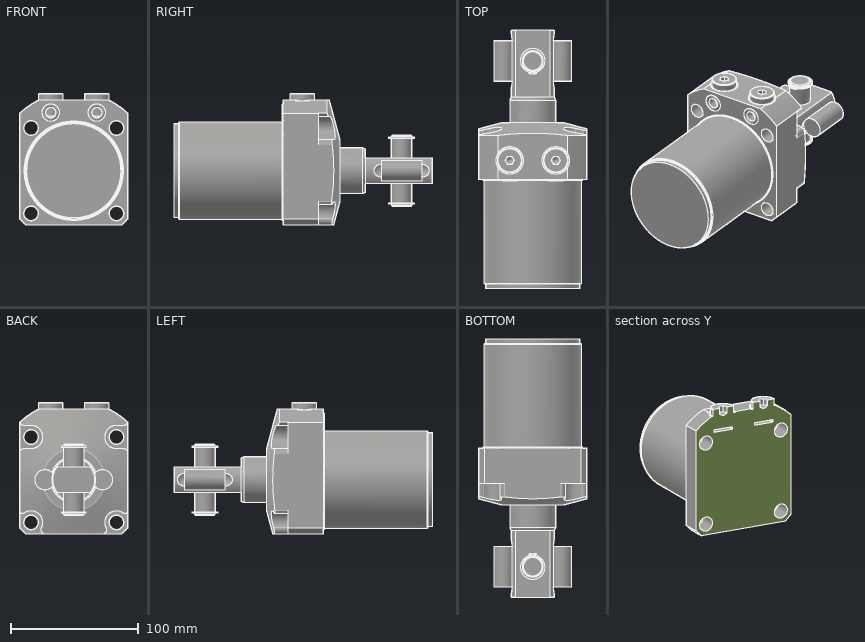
import cadquery as cq
import math


flange_width = 85.0
flange_bottom = 42.5
flange_top = 55.5
corner_radius = 61.8
bottom_chamfer = 4.9
flange_depth = 44.6
front_face_radius = 24.3
front_cone_angle = 15.0

mount_offset = 33.5
mount_hole_diameter = 11.2
counterbore_radius = 9.1
counterbore_floor = 27.8
slot_mouth_radius = 3.5
side_mouth_radius = 2.5
bottom_mouth_radius = 3.5

barrel_radius = 38.3
barrel_length = 82.0
barrel_chamfer = 0.6
end_cap_radius = 37.0
end_cap_length = 3.6
root_radius = 39.0
root_length = 0.8

collar_radius = 18.0
collar_end = 64.5
collar_taper_length = 2.5
rod_radius = 17.0
rod_end = 117.2
rod_flat_height = 20.3
rod_end_chamfer = 0.6

pin_y = 92.9
pin_radius = 8.1
pin_length = 55.8
pin_chamfer = 0.8
ring_radius = 9.5
ring_offset = 0.5
ring_thickness = 1.0
ring_inset = 1.6
lug_reach = 10.3
lug_root = 7.0
lug_root_width = 7.7
lug_tip_width = 5.0
lug_gap = 0.8
lug_hole_diameter = 1.2
lug_hole_x = 1.6
lug_hole_reach = 9.1
roller_radius = 8.0
roller_length = 31.8
roller_x = 22.5

port_x = 18.0
port_y = 15.0
spotface_diameter = 21.5
spotface_depth = 0.8
port_bore_diameter = 16.2
port_bore_bottom = 41.4
plug_top = 60.5
plug_head_diameter = 19.3
plug_head_chamfer = 0.5
plug_shank_end = 43.0
socket_width = 6.3
socket_depth = 5.0
socket_cone_depth = 1.8
oil_hole_height = 45.6
bead_outer_diameter = 13.8
bead_section_radius = 1.52
bead_proud = 1.0
oil_hole_diameter = 8.0

sides = (-1, 1)
port_places = [-port_x, port_x]
bead_center_radius = bead_outer_diameter / 2 - bead_section_radius
bead_center_y = bead_section_radius - bead_proud


def cylinder_y(radius, y_start, y_end, x=0, z=0):
    """Cylinder along +Y between two y positions."""
    start = cq.Vector(x, y_start, z)
    return cq.Workplane(cq.Solid.makeCylinder(radius, y_end - y_start, start, cq.Vector(0, 1, 0)))


def cylinder_z(radius, z_start, z_end, x=0, y=0):
    """Cylinder along +Z between two z positions."""
    return cq.Workplane(cq.Solid.makeCylinder(radius, z_end - z_start, cq.Vector(x, y, z_start)))


def box_between(low, high):
    """Box spanning two opposite corners."""
    size = [b - a for a, b in zip(low, high)]
    return cq.Workplane("XY").box(*size, centered=False).translate(tuple(low))


def flange_block():
    """Flange outline extruded along the axis and trimmed to a conical front."""
    half = flange_width / 2
    arc_start_z = math.sqrt(corner_radius**2 - half**2)
    arc_end_x = math.sqrt(corner_radius**2 - flange_top**2)
    middle = math.atan2(arc_start_z + flange_top, half + arc_end_x)
    arc_mid_x = corner_radius * math.cos(middle)
    arc_mid_z = corner_radius * math.sin(middle)
    block = (
        cq.Workplane("XZ")
        .moveTo(-half + bottom_chamfer, -flange_bottom)
        .lineTo(half - bottom_chamfer, -flange_bottom)
        .lineTo(half, -flange_bottom + bottom_chamfer)
        .lineTo(half, arc_start_z)
        .threePointArc((arc_mid_x, arc_mid_z), (arc_end_x, flange_top))
        .lineTo(-arc_end_x, flange_top)
        .threePointArc((-arc_mid_x, arc_mid_z), (-half, arc_start_z))
        .lineTo(-half, -flange_bottom + bottom_chamfer)
        .close()
        .extrude(-flange_depth)
    )
    envelope_radius = math.hypot(flange_width, flange_top)
    cone_drop = (envelope_radius - front_face_radius) * math.tan(math.radians(front_cone_angle))
    envelope = (
        cq.Workplane("XY")
        .moveTo(0, 0)
        .lineTo(envelope_radius, 0)
        .lineTo(envelope_radius, flange_depth - cone_drop)
        .lineTo(front_face_radius, flange_depth)
        .lineTo(0, flange_depth)
        .close()
        .revolve(360, (0, 0, 0), (0, 1, 0))
    )
    return block.intersect(envelope)


def slot_mouth_cutter(wall_z, outward):
    """Rounds the mouth of the left upper slot where its wall at wall_z meets the side face."""
    inner_x = -flange_width / 2 + slot_mouth_radius
    far_z = wall_z + outward * slot_mouth_radius
    square = box_between(
        (-flange_width / 2, counterbore_floor, min(wall_z, far_z)),
        (inner_x, flange_depth, max(wall_z, far_z)),
    )
    return square.cut(cylinder_y(slot_mouth_radius, counterbore_floor, flange_depth, inner_x, far_z))


def upper_slot_cutter():
    """Straight slot that opens the left upper counterbore to the side face."""
    cutter = box_between(
        (-flange_width / 2, counterbore_floor, mount_offset - counterbore_radius),
        (-mount_offset, flange_depth, mount_offset + counterbore_radius),
    )
    for outward in (-1, 1):
        wall_z = mount_offset + outward * counterbore_radius
        cutter = cutter.union(slot_mouth_cutter(wall_z, outward))
    return cutter


def rounded_mouth(face_distance, mouth_radius):
    """Arc that blends the counterbore circle into a flat face at face_distance from its centre.

    Gives the end on the circle, a middle point and the end on the face, each as
    (distance along the face, distance towards the face) from the counterbore centre.
    """
    towards = face_distance - mouth_radius
    reach = counterbore_radius + mouth_radius
    along = math.sqrt(reach**2 - towards**2)
    circle_angle = math.atan2(-towards, -along)
    face_angle = -math.pi * 3 / 2
    middle_angle = (circle_angle + face_angle) / 2
    middle = (along + mouth_radius * math.cos(middle_angle), towards + mouth_radius * math.sin(middle_angle))
    on_circle = (along * counterbore_radius / reach, towards * counterbore_radius / reach)
    return on_circle, middle, (along, face_distance)


def lower_corner_cutter():
    """Opens the left lower counterbore to the side and bottom faces through rounded mouths."""
    side_arc = rounded_mouth(flange_width / 2 - mount_offset, side_mouth_radius)
    side_points = [(-mount_offset - towards, -mount_offset + along) for along, towards in side_arc]
    bottom_arc = rounded_mouth(flange_bottom - mount_offset, bottom_mouth_radius)
    bottom_points = [(-mount_offset + along, -mount_offset - towards) for along, towards in bottom_arc]
    return (
        cq.Workplane("XZ", origin=(0, counterbore_floor, 0))
        .moveTo(*side_points[0])
        .threePointArc(side_points[1], side_points[2])
        .lineTo(-flange_width / 2, -flange_bottom)
        .lineTo(*bottom_points[2])
        .threePointArc(bottom_points[1], bottom_points[0])
        .close()
        .extrude(counterbore_floor - flange_depth)
    )


def mounting_hole_cutter(side, level):
    """Bolt hole and open counterbore, made on the left and mirrored for the right."""
    z = level * mount_offset
    cutter = cylinder_y(mount_hole_diameter / 2, 0, flange_depth, -mount_offset, z)
    cutter = cutter.union(cylinder_y(counterbore_radius, counterbore_floor, flange_depth, -mount_offset, z))
    cutter = cutter.union(upper_slot_cutter() if level > 0 else lower_corner_cutter())
    return cutter if side < 0 else cutter.mirror("YZ")


def port_cutter(x):
    """Spotface and plug bore from the top and oil hole from the mounting face."""
    cutter = cylinder_z(spotface_diameter / 2, flange_top - spotface_depth, plug_top, x, port_y)
    cutter = cutter.union(cylinder_z(port_bore_diameter / 2, port_bore_bottom, flange_top, x, port_y))
    return cutter.union(cylinder_y(oil_hole_diameter / 2, -bead_proud, port_y, x, oil_hole_height))


def barrel():
    """Barrel with its root shoulder and end cap."""
    root = cylinder_y(root_radius, -root_length, 0)
    tube = cylinder_y(barrel_radius, -barrel_length, 0).faces("<Y").chamfer(barrel_chamfer)
    cap_end = -barrel_length - end_cap_length
    cap = cylinder_y(end_cap_radius, cap_end, -barrel_length)
    return tube.union(root).union(cap)


def roller(side):
    """Plain roller lying along Y beside the rod head."""
    return cylinder_y(roller_radius, pin_y - roller_length / 2, pin_y + roller_length / 2, side * roller_x)


def roller_seat_cutter(side):
    """Groove of the roller's own radius, run out with ball ends beyond the roller."""
    cutter = roller(side)
    for y in (pin_y - roller_length / 2, pin_y + roller_length / 2):
        cutter = cutter.union(cq.Workplane("XY").sphere(roller_radius).translate((side * roller_x, y, 0)))
    return cutter


def piston_rod():
    """Collar standing on the flange, and the flattened rod head with its pin hole and roller seats."""
    collar_profile = [
        (0, flange_depth),
        (collar_radius, flange_depth),
        (collar_radius, collar_end - collar_taper_length),
        (rod_radius, collar_end),
        (0, collar_end),
    ]
    collar = cq.Workplane("XY").polyline(collar_profile).close().revolve(360, (0, 0, 0), (0, 1, 0))
    head = cylinder_y(rod_radius, collar_end, rod_end).faces(">Y").chamfer(rod_end_chamfer)
    flats = box_between(
        (-rod_radius, collar_end, -rod_flat_height / 2),
        (rod_radius, rod_end, rod_flat_height / 2),
    )
    head = head.intersect(flats)
    for side in sides:
        head = head.cut(roller_seat_cutter(side))
    rod = collar.union(head)
    return rod.cut(cylinder_z(pin_radius, -rod_flat_height / 2, rod_flat_height / 2, 0, pin_y))


def retaining_ring(z):
    """Flat ring around the pin, split between two drilled lugs, with its lower face at z."""
    lugs = (
        cq.Workplane("XY", origin=(0, pin_y, z))
        .polyline([
            (-lug_root_width / 2, -lug_root),
            (lug_root_width / 2, -lug_root),
            (lug_tip_width / 2, -lug_reach),
            (-lug_tip_width / 2, -lug_reach),
        ])
        .close()
        .extrude(ring_thickness)
    )
    ring = cylinder_z(ring_radius, z, z + ring_thickness, 0, pin_y + ring_offset).union(lugs)
    gap = box_between(
        (-lug_gap / 2, pin_y - lug_reach, z),
        (lug_gap / 2, pin_y - pin_radius, z + ring_thickness),
    )
    ring = ring.cut(gap)
    for x in (-lug_hole_x, lug_hole_x):
        hole = cylinder_z(lug_hole_diameter / 2, z, z + ring_thickness, x, pin_y - lug_hole_reach)
        ring = ring.cut(hole)
    return ring


def cross_pin():
    """Pin through the rod head with a retaining ring near each end."""
    half = pin_length / 2
    pin = cylinder_z(pin_radius, -half, half, 0, pin_y).faces("<Z or >Z").chamfer(pin_chamfer)
    for z in (half - ring_inset - ring_thickness, -half + ring_inset):
        pin = pin.union(retaining_ring(z))
    return pin


def port_plug(x):
    """Screw plug with a hexagon socket that ends in a drill point."""
    seat = flange_top - spotface_depth
    plug = cylinder_z(plug_head_diameter / 2, seat, plug_top, x, port_y)
    plug = plug.faces(">Z").chamfer(plug_head_chamfer)
    plug = plug.union(cylinder_z(port_bore_diameter / 2, plug_shank_end, seat, x, port_y))
    corner_diameter = socket_width / math.cos(math.radians(30))
    socket = (
        cq.Workplane("XY", origin=(x, port_y, plug_top))
        .polygon(6, corner_diameter)
        .extrude(-socket_depth)
    )
    drill_point = cq.Workplane(
        cq.Solid.makeCone(
            socket_width / 2, 0, socket_cone_depth,
            cq.Vector(x, port_y, plug_top - socket_depth), cq.Vector(0, 0, -1),
        )
    )
    return plug.cut(socket).cut(drill_point)


def seal_bead(x):
    """Half-sunk ring bead around the oil hole in the mounting face."""
    return cq.Workplane(
        cq.Solid.makeTorus(
            bead_center_radius, bead_section_radius,
            cq.Vector(x, bead_center_y, oil_hole_height), cq.Vector(0, 1, 0),
        )
    )


def housing():
    """Flange and barrel with the ports, their screw plugs and their seal beads."""
    body = flange_block()
    for side in sides:
        for level in (-1, 1):
            body = body.cut(mounting_hole_cutter(side, level))
    body = body.union(barrel())
    for x in port_places:
        body = body.union(seal_bead(x)).cut(port_cutter(x)).union(port_plug(x))
    return body


flange_and_barrel = housing()
rod = piston_rod()
pin = cross_pin()
rollers = [roller(side).val() for side in sides]

result = cq.Compound.makeCompound([flange_and_barrel.val(), rod.val(), pin.val(), *rollers])